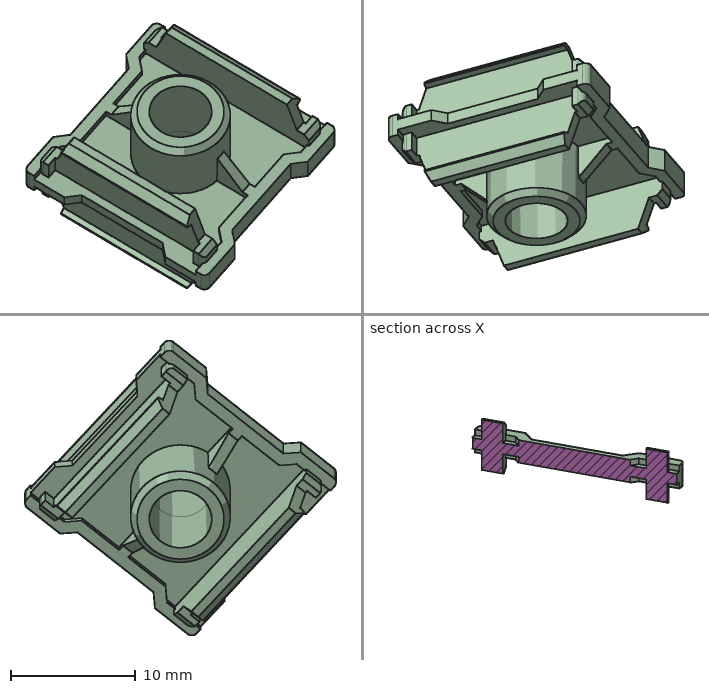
import cadquery as cq
import math

plate_half = 9.0
corner_radius = 0.5
notch_depth = 0.99
notch_angle = 45.0
notch_half = 4.01
notch_run = notch_depth / math.tan(math.radians(notch_angle))
web_half_height = 0.5
rim_half_height = 1.0
rim_width = 1.0

boss_radius = 4.0
boss_half_height = 6.25
boss_chamfer = 0.5
bore_radius = 2.5

rib_width = 1.0
rib_draft = 1.2
rib_top = 3.51
rib_foot_radius = boss_radius + rib_top - rim_half_height

wall_inner = 6.3
wall_outer = 7.25
wall_half_height = 4.95
wall_foot_half = 6.97
wall_top_half = 6.0
hook_crest = 7.04
hook_tip = 7.74
hook_tip_top = 4.32
hook_tip_bottom = 4.2
hook_root = 4.05

block_half_height = 2.21
block_inner = 7.16
block_outer = 8.17
block_chamfer = 0.47
block_radius = 0.5


def prism(width_x, y_range, half_height):
    """Box centred on X and Z that spans the given range of Y."""
    y_start, y_end = y_range
    box = cq.Workplane("XY").box(width_x, y_end - y_start, 2 * half_height)
    return box.translate((0, (y_start + y_end) / 2, 0))


def notched_outline():
    """Closed square outline with a sloped notch in the middle of each side."""
    notch_mouth = notch_half + notch_run
    notch_floor = plate_half - notch_depth
    side = [
        (plate_half, -plate_half),
        (plate_half, -notch_mouth),
        (notch_floor, -notch_half),
        (notch_floor, notch_half),
        (plate_half, notch_mouth),
    ]
    points = []
    for _ in range(4):
        points += side
        side = [(-y, x) for x, y in side]
    return cq.Workplane("XY").polyline(points).close()


def make_plate():
    """Notched plate, recessed above and below between the rims."""
    plate = notched_outline().extrude(rim_half_height, both=True)
    rounded_square = (
        prism(2 * plate_half, (-plate_half, plate_half), rim_half_height)
        .edges("|Z")
        .fillet(corner_radius)
    )
    plate = plate.intersect(rounded_square)

    bend_shift = rim_width * math.tan(math.radians(notch_angle / 2))
    bend_inner = notch_half + bend_shift
    bend_outer = bend_inner + notch_run
    pocket_wide = plate_half - rim_width
    pocket_narrow = pocket_wide - notch_depth
    right_side = [
        (pocket_wide, -plate_half),
        (pocket_wide, -bend_outer),
        (pocket_narrow, -bend_inner),
        (pocket_narrow, bend_inner),
        (pocket_wide, bend_outer),
        (pocket_wide, plate_half),
    ]
    left_side = [(-x, -y) for x, y in right_side]
    pocket = (
        cq.Workplane("XY", origin=(0, 0, web_half_height))
        .polyline(right_side + left_side)
        .close()
        .extrude(rim_half_height)
    )
    return plate.cut(pocket).cut(pocket.mirror("XY"))


def make_boss():
    boss = cq.Workplane("XY").circle(boss_radius).extrude(boss_half_height, both=True)
    return boss.faces("|Z").edges().chamfer(boss_chamfer)


def make_ribs():
    """Upper pair of drafted ribs whose sloping tops lie on one cone."""
    rib_reach = plate_half - rim_width
    slab = (
        cq.Workplane("XY", origin=(0, 0, web_half_height))
        .rect(2 * rib_reach, rib_width)
        .extrude(rib_top - web_half_height, taper=rib_draft)
    )
    envelope = (
        cq.Workplane("XZ")
        .moveTo(0, 0)
        .lineTo(rib_reach, 0)
        .lineTo(rib_reach, rim_half_height)
        .lineTo(rib_foot_radius, rim_half_height)
        .lineTo(boss_radius, rib_top)
        .lineTo(0, rib_top)
        .close()
        .revolve(360, (0, 0, 0), (0, 1, 0))
    )
    return slab.intersect(envelope)


def make_wall():
    """Clip wall on the +Y side, hooked along its upper and lower edges."""
    upper = [
        (wall_outer, hook_root),
        (hook_tip, hook_tip_bottom),
        (hook_tip, hook_tip_top),
        (hook_crest, wall_half_height),
        (wall_inner, wall_half_height),
    ]
    lower = [(y, -z) for y, z in reversed(upper)]
    section = (
        cq.Workplane("YZ")
        .polyline(upper + lower)
        .close()
        .extrude(wall_foot_half, both=True)
    )
    face = [
        (wall_foot_half, -block_half_height),
        (wall_foot_half, block_half_height),
        (wall_top_half, wall_half_height),
        (-wall_top_half, wall_half_height),
        (-wall_foot_half, block_half_height),
        (-wall_foot_half, -block_half_height),
        (-wall_top_half, -wall_half_height),
        (wall_top_half, -wall_half_height),
    ]
    trim = cq.Workplane("XZ").polyline(face).close().extrude(-plate_half)
    return section.intersect(trim)


def make_end_blocks():
    """L-shaped blocks at both ends of the +Y wall."""
    blocks = prism(2 * block_outer, (wall_inner, block_outer), block_half_height)
    blocks = blocks.edges("|Z and >Y").fillet(block_radius)
    chamfered_ends = (
        prism(2 * block_outer, (wall_inner, block_outer), block_half_height)
        .edges("|Y")
        .chamfer(block_chamfer)
    )
    gap = prism(2 * block_inner, (wall_outer, plate_half), block_half_height)
    return blocks.intersect(chamfered_ends).cut(gap)


ribs = make_ribs()
clip = make_wall().union(make_end_blocks())
bore = cq.Workplane("XY").circle(bore_radius).extrude(boss_half_height, both=True)

result = (
    make_plate()
    .union(make_boss())
    .union(ribs)
    .union(ribs.mirror("XY"))
    .union(clip)
    .union(clip.mirror("XZ"))
    .cut(bore)
)